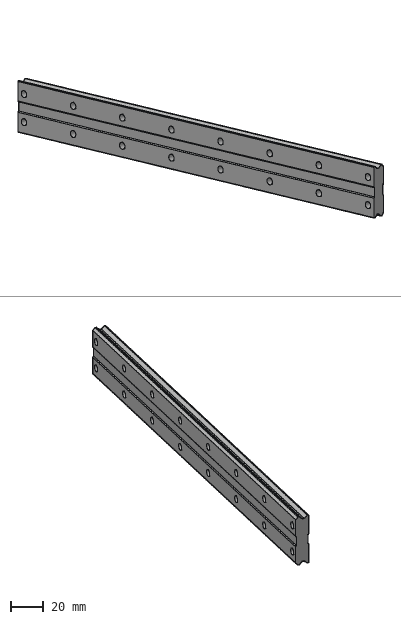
import cadquery as cq

length = 290.0
thickness = 9.0
height = 33.0

face_groove_depth = 0.5
face_groove_mouth = 7.2
face_groove_floor = 5.8

edge_groove_y = -0.72
edge_groove_depth = 1.88
edge_groove_mouth = 4.0
edge_groove_floor = 1.2
lip_bevel = 0.72

front_bevel = 0.44

rear_bevel = 1.6
crease_inset = 1.0
crease_drop = 1.0

holes_per_row = 8
hole_pitch = 40.0
row_spacing = 18.0
hole_diameter = 4.4


def rail_bar():
    """Extrude the grooved cross-section, symmetric about its mid-height, along X."""
    front = -thickness / 2
    rear = thickness / 2
    top = height / 2
    half_mouth = edge_groove_mouth / 2
    half_floor = edge_groove_floor / 2
    groove_bottom = top - edge_groove_depth

    upper_half = [
        (front + face_groove_depth, face_groove_floor / 2),
        (front, face_groove_mouth / 2),
        (front, top - front_bevel),
        (front + front_bevel, top),
        (edge_groove_y - half_mouth - lip_bevel, top),
        (edge_groove_y - half_mouth, top - lip_bevel),
        (edge_groove_y - half_floor, groove_bottom),
        (edge_groove_y + half_floor, groove_bottom),
        (edge_groove_y + half_mouth, top - lip_bevel),
        (edge_groove_y + half_mouth + lip_bevel, top),
        (rear - rear_bevel, top),
        (rear - crease_inset, top - crease_drop),
        (rear, top - rear_bevel),
        (rear, face_groove_mouth / 2),
        (rear - face_groove_depth, face_groove_floor / 2),
    ]
    lower_half = [(y, -z) for y, z in reversed(upper_half)]
    section = cq.Workplane("YZ").polyline(upper_half + lower_half).close()
    return section.extrude(length / 2, both=True)


def hole_cutters():
    """Cylinders through the full thickness at every hole position."""
    return (
        cq.Workplane("XZ")
        .rarray(hole_pitch, row_spacing, holes_per_row, 2)
        .circle(hole_diameter / 2)
        .extrude(thickness, both=True)
    )


result = rail_bar().cut(hole_cutters())